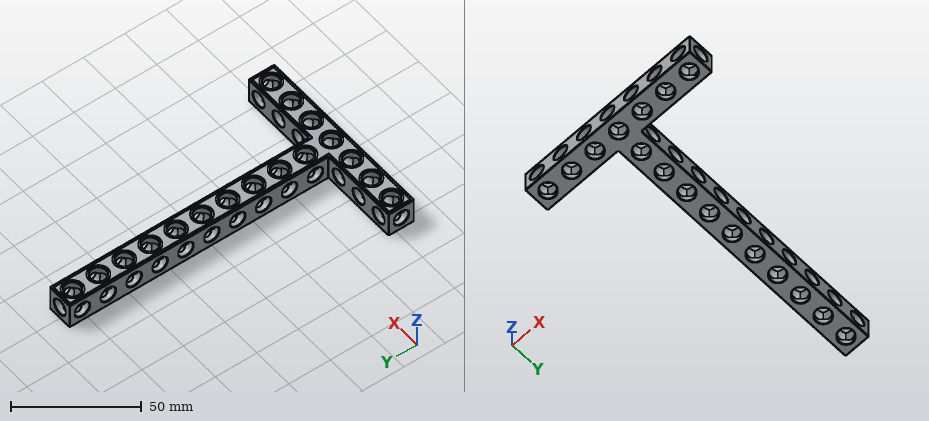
import cadquery as cq

stem_length = 137.5
stem_cells = 11
crossbar_cells = 7
pitch = stem_length / stem_cells
crossbar_length = crossbar_cells * pitch
half_bar = pitch / 2

edge_chamfer = 0.3
hole_diameter = 7.0
hole_chamfer = 0.3

recess_depth = 0.2
rim_width = 1.1
collar_diameter = 9.2

cell_rows = [row * pitch for row in range(stem_cells)]
cell_columns = [(column - crossbar_cells // 2) * pitch for column in range(crossbar_cells)]


def tee(inset, height):
    """Tee moved inwards by inset, centred on Z = 0 and the given height."""
    width = pitch - 2 * inset
    crossbar = cq.Workplane("XY").box(crossbar_length - 2 * inset, width, height)
    stem = (
        cq.Workplane("XY")
        .box(width, stem_length - 2 * inset, height)
        .translate((0, stem_length / 2 - half_bar, 0))
    )
    return crossbar.union(stem).clean()


def chamfered_hole(start, direction, length):
    """Cutter for a round through hole that flares out at both ends."""
    radius = hole_diameter / 2
    mouth_radius = radius + hole_chamfer
    axis = cq.Vector(*direction)
    entry = cq.Vector(*start)
    exit_point = entry + axis * length
    bore = cq.Solid.makeCylinder(radius, length, entry, axis)
    entry_cone = cq.Solid.makeCone(mouth_radius, radius, hole_chamfer, entry, axis)
    exit_cone = cq.Solid.makeCone(mouth_radius, radius, hole_chamfer, exit_point, axis * -1)
    return cq.Workplane(bore.fuse(entry_cone, exit_cone))


body = tee(0, pitch).edges().chamfer(edge_chamfer)

vertical_centers = [(x, 0) for x in cell_columns] + [(0, y) for y in cell_rows[1:]]

collars = (
    cq.Workplane("XY")
    .pushPoints(vertical_centers)
    .circle(collar_diameter / 2)
    .extrude(pitch)
)
panel = tee(rim_width, recess_depth).translate((0, 0, half_bar - recess_depth / 2))
panel = panel.cut(collars)
body = body.cut(panel)

for x, y in vertical_centers:
    body = body.cut(chamfered_hole((x, y, -half_bar), (0, 0, 1), pitch))

for x in cell_columns:
    length = stem_length if x == 0 else pitch
    body = body.cut(chamfered_hole((x, -half_bar, 0), (0, 1, 0), length))

for y in cell_rows:
    length = crossbar_length if y == 0 else pitch
    body = body.cut(chamfered_hole((-length / 2, y, 0), (1, 0, 0), length))

result = body